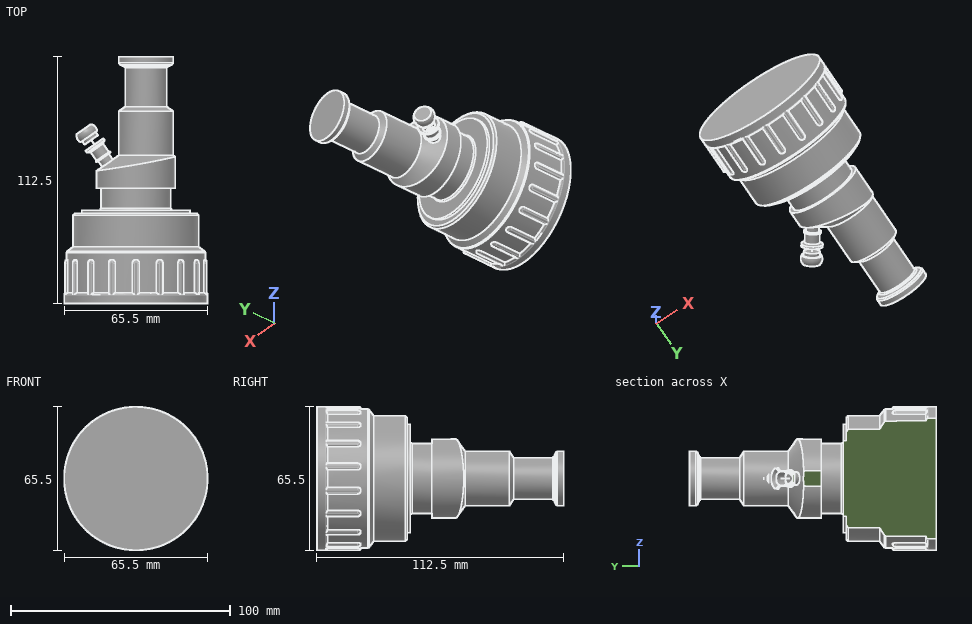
import cadquery as cq
import math

LENGTH = 112.5

CAP_DIA = 65.5
GRIP_DIA = 63.5
LIP_TOP = 4.8
GRIP_TOP = 23.7
GRIP_BEVEL_RISE = 0.6
GRIP_BEVEL_WIDTH = 0.28
RIB_COUNT = 18
RIB_WIDTH = 3.2
RIB_TOP = 20.0
RIB_ROUND = 0.9
RIB_SINK = 0.06
RIB_ROOT_DEPTH = 1.1

HOUSING_DIA = 57.4
HOUSING_BASE = 25.9
HOUSING_TOP = 41.2
HOUSING_CHAMFER = 1.0
DISC_DIA = 49.5
DISC_TOP = 42.5
BARREL_DIA = 32.0
BARREL_FLARE_RISE = 0.9
BARREL_FLARE_WIDTH = 0.5

COLLAR_DIA = 36
COLLAR_BASE = 52.4
SHOULDER_TOP = 67.5
SHOULDER_ANGLE = 35

TUBE_OFFSET = 4.6
TUBE_DIA = 25.0
TUBE_TOP = 87.6
NECK_DIA = 19.0
NECK_BASE = 89.7
NECK_TOP = 107.3
FLANGE_RIM_BASE = 109.6
FLANGE_SLOPE_TOP = 108.8
FLANGE_SLOPE_BASE = 108
FLANGE_BEVEL_WIDTH = 0.6
NECK_FLARE_WIDTH = 0.7

PORT_DIA = 6.0
PORT_ROOT = -2.2
PORT_RING_DIA = 8.0
PORT_RING_BASE = 3.2
PORT_RING_TOP = 3.7
PORT_SLEEVE_DIA = 7.0
PORT_TOP = 10.4
PORT_FLANGE_DIA = 10.0
PORT_RIM_DEPTH = 1.1
PORT_CONE_DEPTH = 1.9
PORT_RIM_WIDTH = 0.1
PORT_BORE_DIA = 6.0
PORT_SINK_DEPTH = 1.4

PLUG_DIA = 7.5
PLUG_GAP = 2.5
PLUG_LENGTH = 1.9
HEAD_LENGTH = 4.2
HEAD_BASE_DIA = 9.2
HEAD_DIA = 10.0
HEAD_TOP_DIA = 8.0
HEAD_WIDEST = 2.1
STEM_DIA = 0.2


def turned_about_y(profile):
    """Revolve a closed XY half profile about the Y axis."""
    return profile.close().revolve(360, (0, 0, 0), (0, 1, 0))


def make_cap_and_barrel():
    cap_r = CAP_DIA / 2
    grip_r = GRIP_DIA / 2
    housing_r = HOUSING_DIA / 2
    barrel_r = BARREL_DIA / 2
    profile = (
        cq.Workplane("XY")
        .lineTo(cap_r, 0)
        .lineTo(cap_r, LIP_TOP - RIB_ROUND)
        .radiusArc((cap_r - RIB_ROUND, LIP_TOP), -RIB_ROUND)
        .lineTo(grip_r, LIP_TOP)
        .lineTo(grip_r, GRIP_TOP - GRIP_BEVEL_RISE)
        .lineTo(grip_r - GRIP_BEVEL_WIDTH, GRIP_TOP)
        .lineTo(housing_r, HOUSING_BASE)
        .lineTo(housing_r, HOUSING_TOP - HOUSING_CHAMFER)
        .lineTo(housing_r - HOUSING_CHAMFER, HOUSING_TOP)
        .lineTo(DISC_DIA / 2, HOUSING_TOP)
        .lineTo(DISC_DIA / 2, DISC_TOP)
        .lineTo(barrel_r + BARREL_FLARE_WIDTH, DISC_TOP)
        .lineTo(barrel_r, DISC_TOP + BARREL_FLARE_RISE)
        .lineTo(barrel_r, COLLAR_BASE)
        .lineTo(0, COLLAR_BASE)
    )
    return turned_about_y(profile)


def make_rib():
    """Round-ended grip rib on the +Z side, its flat crest just below the cap's rim."""
    crest = CAP_DIA / 2 - RIB_SINK
    root = GRIP_DIA / 2 - RIB_ROOT_DEPTH
    bottom = LIP_TOP / 2
    length = RIB_TOP - bottom
    return (
        cq.Workplane("XY", origin=(0, bottom + length / 2, root))
        .slot2D(length, RIB_WIDTH, 90)
        .extrude(crest - root)
        .faces(">Z")
        .edges()
        .fillet(RIB_ROUND)
    )


def make_collar():
    """Cylinder on the main axis, topped by a cone on the tube axis."""
    slope = math.tan(math.radians(SHOULDER_ANGLE))
    height = SHOULDER_TOP - COLLAR_BASE
    cylinder = (
        cq.Workplane("XZ", origin=(0, COLLAR_BASE, 0))
        .circle(COLLAR_DIA / 2)
        .extrude(-height)
    )
    cone_profile = (
        cq.Workplane("XY")
        .moveTo(0, COLLAR_BASE)
        .lineTo(TUBE_DIA / 2 + height / slope, COLLAR_BASE)
        .lineTo(TUBE_DIA / 2, SHOULDER_TOP)
        .lineTo(0, SHOULDER_TOP)
    )
    cone = turned_about_y(cone_profile).translate((TUBE_OFFSET, 0, 0))
    return cylinder.intersect(cone)


def make_outlet():
    tube_r = TUBE_DIA / 2
    neck_r = NECK_DIA / 2
    profile = (
        cq.Workplane("XY")
        .moveTo(0, COLLAR_BASE)
        .lineTo(neck_r, COLLAR_BASE)
        .lineTo(tube_r, SHOULDER_TOP)
        .lineTo(tube_r, TUBE_TOP)
        .lineTo(neck_r, NECK_BASE)
        .lineTo(neck_r, NECK_TOP)
        .lineTo(neck_r + NECK_FLARE_WIDTH, FLANGE_SLOPE_BASE)
        .lineTo(tube_r - FLANGE_BEVEL_WIDTH, FLANGE_SLOPE_TOP)
        .lineTo(tube_r, FLANGE_RIM_BASE)
        .lineTo(tube_r, LENGTH)
        .lineTo(0, LENGTH)
    )
    return turned_about_y(profile).translate((TUBE_OFFSET, 0, 0))


def make_port():
    """Port and plug, built upright on the Y axis from the shoulder surface."""
    tube_r = PORT_DIA / 2
    ring_r = PORT_RING_DIA / 2
    sleeve_r = PORT_SLEEVE_DIA / 2
    flange_r = PORT_FLANGE_DIA / 2
    bore_r = PORT_BORE_DIA / 2
    stem_r = STEM_DIA / 2
    plug_base = PORT_TOP + PLUG_GAP
    head_base = plug_base + PLUG_LENGTH
    head_top = head_base + HEAD_LENGTH
    profile = (
        cq.Workplane("XY")
        .moveTo(0, PORT_ROOT)
        .lineTo(tube_r, PORT_ROOT)
        .lineTo(tube_r, PORT_RING_BASE)
        .lineTo(ring_r, PORT_RING_BASE)
        .lineTo(ring_r, PORT_RING_TOP)
        .lineTo(sleeve_r, PORT_RING_TOP)
        .lineTo(sleeve_r, PORT_TOP - PORT_CONE_DEPTH)
        .lineTo(flange_r, PORT_TOP - PORT_RIM_DEPTH)
        .lineTo(flange_r, PORT_TOP)
        .lineTo(flange_r - PORT_RIM_WIDTH, PORT_TOP)
        .lineTo(bore_r, PORT_TOP - PORT_SINK_DEPTH)
        .lineTo(bore_r, PORT_RING_TOP)
        .lineTo(stem_r, PORT_RING_TOP)
        .lineTo(stem_r, plug_base)
        .lineTo(PLUG_DIA / 2, plug_base)
        .lineTo(PLUG_DIA / 2, head_base)
        .lineTo(HEAD_BASE_DIA / 2, head_base)
        .threePointArc((HEAD_DIA / 2, head_top - HEAD_WIDEST), (HEAD_TOP_DIA / 2, head_top))
        .lineTo(0, head_top)
    )
    return turned_about_y(profile)


def place_on_shoulder(port):
    """Stand the port square on the middle of the shoulder's longest slope."""
    upper_x = TUBE_OFFSET - TUBE_DIA / 2
    half_run = (upper_x + COLLAR_DIA / 2) / 2
    foot_x = upper_x - half_run
    foot_y = SHOULDER_TOP - half_run * math.tan(math.radians(SHOULDER_ANGLE))
    return port.rotate((0, 0, 0), (0, 0, 1), SHOULDER_ANGLE).translate((foot_x, foot_y, 0))


result = make_cap_and_barrel()
rib = make_rib()
for i in range(RIB_COUNT):
    result = result.union(rib.rotate((0, 0, 0), (0, 1, 0), i * 360 / RIB_COUNT))
result = result.union(make_collar()).union(make_outlet())
result = result.union(place_on_shoulder(make_port()))